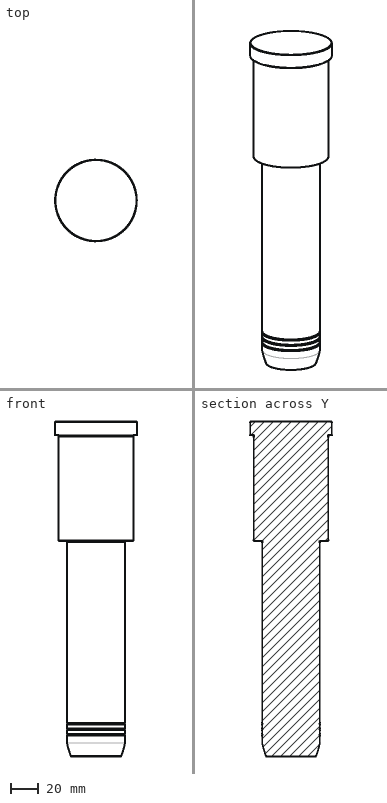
import cadquery as cq

total_length = 241.0
head_diameter = 59.0
head_height = 10.0
head_chamfer = 0.5

body_diameter = 54.2
body_length = 76.2
body_chamfer = 0.5

shank_diameter = 42.0

tip_length = 10.0
tip_end_radius = 18.3
tip_bulge = 0.2
tip_chamfer = 0.5

groove_count = 3
groove_width = 1.2
groove_depth = 0.5
first_groove_center = 15.7
last_groove_center = 23.5
groove_pitch = (last_groove_center - first_groove_center) / (groove_count - 1)

body_relief_width = 0.7

shank_radius = shank_diameter / 2
head_bottom = total_length - head_height
body_bottom = head_bottom - body_length


def cylinder(diameter, bottom, height):
    return cq.Workplane("XY").workplane(offset=bottom).circle(diameter / 2).extrude(height)


def make_head():
    return cylinder(head_diameter, head_bottom, head_height).faces(">Z").chamfer(head_chamfer)


def make_body():
    body = cylinder(body_diameter, body_bottom, body_length)
    return body.faces("<Z").chamfer(body_chamfer)


def make_shank():
    """Revolve the shank with its convex tip about the Z axis."""
    arc_middle = ((shank_radius + tip_end_radius) / 2 + tip_bulge, (tip_length + tip_chamfer) / 2)
    return (
        cq.Workplane("XZ")
        .lineTo(tip_end_radius - tip_chamfer, 0)
        .lineTo(tip_end_radius, tip_chamfer)
        .threePointArc(arc_middle, (shank_radius, tip_length))
        .lineTo(shank_radius, body_bottom)
        .lineTo(0, body_bottom)
        .close()
        .revolve(360, (0, 0, 0), (0, 1, 0))
    )


def make_groove(surface_radius, center, width=groove_width):
    """Ring that cuts a V-shaped groove into a cylinder of the given radius."""
    half_width = width / 2
    return (
        cq.Workplane("XZ")
        .moveTo(surface_radius, center - half_width)
        .lineTo(surface_radius - groove_depth, center)
        .lineTo(surface_radius, center + half_width)
        .close()
        .revolve(360, (0, 0, 0), (0, 1, 0))
    )


result = make_shank().union(make_body()).union(make_head())
for index in range(groove_count):
    result = result.cut(make_groove(shank_radius, first_groove_center + index * groove_pitch))

result = result.cut(make_groove(body_diameter / 2, head_bottom - groove_width / 2))
result = result.cut(make_groove(shank_radius, body_bottom - body_relief_width / 2, body_relief_width))